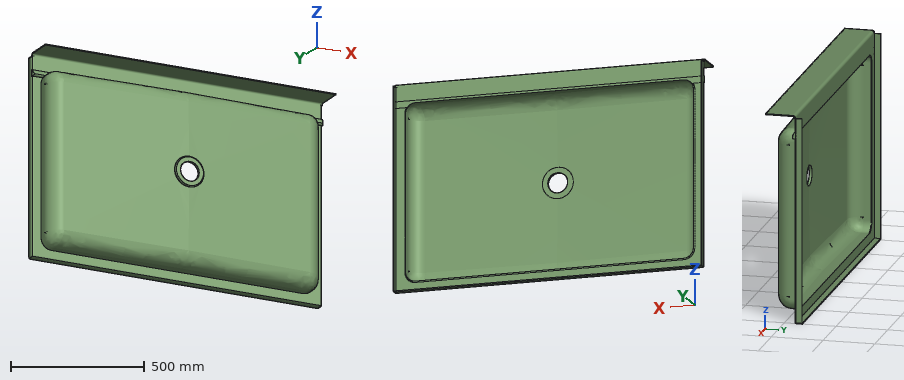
import cadquery as cq

width = 1219.0
depth = 140.0
height = 813.0
wall = 4.3

half_width = width / 2
back_y = depth / 2
front_y = -depth / 2
top_z = height / 2
bottom_z = -height / 2

panel_y = 41.0
rim_top_z = 395.0
rim_round = 7.0

bend_radius = 11.0

bead_top_z = 340.0
bead_shoulder_z = 330.0
bead_bottom_z = 315.0
bead_nose_y = 32.0
bead_shoulder_y = 35.0
bead_round = 7.0

basin_half_width = 572.0
basin_top_z = 334.0
basin_bottom_z = -368.0
basin_corner = 43.0
basin_round = 56.0
floor_side_y = -41.0
floor_end_y = -52.0
floor_drain_y = -59.0

drain_front_y = -65.0
drain_radius = 61.0
drain_hole_radius = 39.0
drain_chamfer = 4.3


def box(x_range, y_range, z_range):
    """Axis-aligned block between the given limits."""
    size = [high - low for low, high in (x_range, y_range, z_range)]
    low_corner = (x_range[0], y_range[0], z_range[0])
    return cq.Workplane("XY").box(*size, centered=False).translate(low_corner)


def panel_block(low_z, high_z):
    """Full-width block behind the panel front, its two upright front edges rounded."""
    block = box((-half_width, half_width), (panel_y, back_y), (low_z, high_z))
    return block.edges("|Z and <Y").fillet(rim_round)


def rim():
    """Panel and skirts: a tray open at the back and at the top."""
    outer = panel_block(bottom_z, rim_top_z).faces("<Z").edges("not >Y").fillet(rim_round)
    inner = box(
        (wall - half_width, half_width - wall),
        (panel_y + wall, back_y),
        (bottom_z + wall, rim_top_z),
    )
    return outer.cut(inner)


def shelf():
    """Sheet that rises from the panel and bends forward."""
    panel_rear_y = panel_y + wall
    outer = box((-half_width, half_width), (front_y, panel_rear_y), (bead_bottom_z, top_z))
    outer = outer.edges(">Z and >Y").fillet(bend_radius)
    inner = box((-half_width, half_width), (front_y, panel_y), (bead_bottom_z, top_z - wall))
    inner = inner.edges(">Z and >Y").fillet(bend_radius - wall)
    sheet = outer.cut(inner)

    bend_z = top_z - bend_radius
    upright = box((-half_width, half_width), (panel_y, panel_rear_y), (bead_bottom_z, bend_z))
    return sheet.cut(upright).union(upright.intersect(panel_block(bead_bottom_z, bend_z)))


def bead():
    """Drip bead that runs across the panel, with rounded ends."""
    bar = (
        cq.Workplane("YZ", origin=(-half_width, 0, 0))
        .moveTo(panel_y + wall, bead_top_z)
        .lineTo(panel_y, bead_top_z)
        .lineTo(bead_shoulder_y, bead_shoulder_z)
        .lineTo(bead_nose_y, bead_bottom_z + bead_round)
        .radiusArc((bead_nose_y + bead_round, bead_bottom_z), -bead_round)
        .lineTo(panel_y + wall, bead_bottom_z)
        .close()
        .extrude(width)
    )
    nose = box((-half_width, half_width), (bead_nose_y, back_y), (bead_bottom_z, bead_top_z))
    return bar.intersect(nose.edges("|Z and <Y").fillet(rim_round))


def basin_section(x, y_end, y_middle, low_z, high_z):
    """Cross-section at x, whose floor bows from y_end at its ends to y_middle."""
    rear_low = cq.Vector(x, panel_y + wall, low_z)
    rear_high = cq.Vector(x, panel_y + wall, high_z)
    floor_low = cq.Vector(x, y_end, low_z)
    floor_high = cq.Vector(x, y_end, high_z)
    if y_middle == y_end:
        floor = cq.Edge.makeLine(floor_low, floor_high)
    else:
        middle = cq.Vector(x, y_middle, (low_z + high_z) / 2)
        floor = cq.Edge.makeThreePointArc(floor_low, middle, floor_high)
    return cq.Wire.assembleEdges([
        cq.Edge.makeLine(rear_low, floor_low),
        floor,
        cq.Edge.makeLine(floor_high, rear_high),
        cq.Edge.makeLine(rear_high, rear_low),
    ])


def bulge(inset):
    """Basin volume, with its walls and floor moved inward by inset."""
    half = basin_half_width - inset
    z_limits = (basin_bottom_z + inset, basin_top_z - inset)
    side_y = floor_side_y + inset
    side_section = basin_section(-half, side_y, side_y, *z_limits)
    ridge_section = basin_section(0, floor_end_y + inset, floor_drain_y + inset, *z_limits)
    half_body = cq.Workplane(cq.Solid.makeLoft([side_section, ridge_section], True))
    body = half_body.union(half_body.mirror("YZ"))

    corners = body.edges("|Y and (<X or >X)").vals()
    floor_edges = body.faces("<X or >X or <Z or >Z").edges("(not |Y) and (not >Y)").vals()
    rounding = cq.occ_impl.shapes.BRepFilletAPI_MakeFillet(body.val().wrapped)
    for edge in corners:
        rounding.Add(basin_corner - inset, edge.wrapped)
    for edge in floor_edges:
        rounding.Add(basin_round - inset, edge.wrapped)
    return cq.Workplane(cq.Shape.cast(rounding.Shape()))


def drain_cylinder(radius, start_y):
    """Cylinder on the drain axis, from start_y back to the rear of the panel."""
    rear_y = panel_y + wall
    return cq.Workplane("XZ", origin=(0, rear_y, 0)).circle(radius).extrude(rear_y - start_y)


outer_basin = bulge(0)
inner_basin = bulge(wall)
drain_boss = drain_cylinder(drain_radius, drain_front_y).faces("<Y").chamfer(drain_chamfer)

result = (
    rim()
    .union(shelf())
    .union(bead())
    .union(outer_basin)
    .union(drain_boss)
    .cut(inner_basin)
    .cut(drain_cylinder(drain_hole_radius, drain_front_y))
)